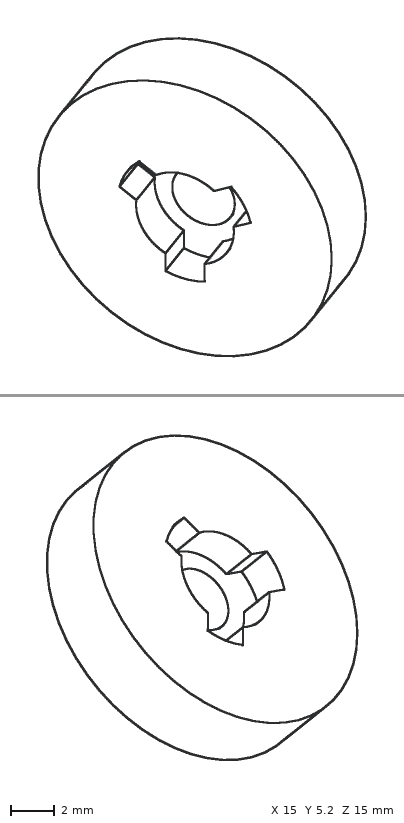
import cadquery as cq

disc_diameter = 15.0
disc_thickness = 3.7

boss_height = 1.5
boss_base_diameter = 8.0
boss_top_diameter = boss_base_diameter - 2 * boss_height

bore_diameter = 3.2

recess_diameter = 5.0
recess_depth = 2.0
key_count = 3
key_width = 2.0
key_tip_diameter = 6.88

total_length = disc_thickness + boss_height


def cylinder(diameter, length):
    """Cylinder on the part axis, running from the front face towards +Y."""
    return cq.Workplane("XZ").circle(diameter / 2).extrude(-length)


def make_body():
    """Disc and conical boss, revolved about the Y axis."""
    return (
        cq.Workplane("XY")
        .moveTo(0, 0)
        .lineTo(disc_diameter / 2, 0)
        .lineTo(disc_diameter / 2, disc_thickness)
        .lineTo(boss_base_diameter / 2, disc_thickness)
        .lineTo(boss_top_diameter / 2, total_length)
        .lineTo(0, total_length)
        .close()
        .revolve(360, (0, 0, 0), (0, 1, 0))
    )


def make_recess():
    """Round recess with evenly spaced keyways, the first one pointing to -Z."""
    key_tip_radius = key_tip_diameter / 2
    keyway_bar = (
        cq.Workplane("XZ")
        .center(0, -key_tip_radius / 2)
        .rect(key_width, key_tip_radius)
        .extrude(-recess_depth)
    )
    keyway = keyway_bar.intersect(cylinder(key_tip_diameter, recess_depth))

    recess = cylinder(recess_diameter, recess_depth)
    for index in range(key_count):
        angle = index * 360 / key_count
        recess = recess.union(keyway.rotate((0, 0, 0), (0, 1, 0), angle))
    return recess


bore = cylinder(bore_diameter, total_length)
result = make_body().cut(make_recess()).cut(bore)